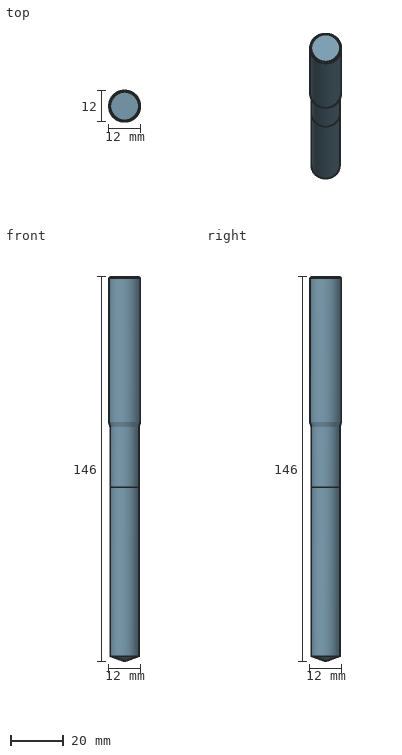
import cadquery as cq
import math

TOTAL_LENGTH = 146.0
SHANK_DIAMETER = 12.0
SHANK_LENGTH = 55.2
SHANK_TOP_CHAMFER = 0.6
CUTTER_DIAMETER = 11.0
CUTTER_LENGTH = 66.1
POINT_ANGLE = 140.0
STEP_CONE_HEIGHT = 1.8

TIP_Z = 0.0
TOP_Z = TIP_Z + TOTAL_LENGTH
SPLIT_Z = TIP_Z + CUTTER_LENGTH
STEP_TOP_Z = TOP_Z - SHANK_LENGTH

SHANK_RADIUS = SHANK_DIAMETER / 2
CUTTER_RADIUS = CUTTER_DIAMETER / 2
POINT_HEIGHT = CUTTER_RADIUS / math.tan(math.radians(POINT_ANGLE / 2))


def revolve_profile(points):
    """Turn a closed (radius, height) outline about the Z axis."""
    return cq.Workplane("XZ").polyline(points).close().revolve(360, (0, 0), (0, 1))


def make_shank():
    """Chamfered shank with a conical step down to the neck."""
    return revolve_profile([
        (0, SPLIT_Z),
        (CUTTER_RADIUS, SPLIT_Z),
        (CUTTER_RADIUS, STEP_TOP_Z - STEP_CONE_HEIGHT),
        (SHANK_RADIUS, STEP_TOP_Z),
        (SHANK_RADIUS, TOP_Z - SHANK_TOP_CHAMFER),
        (SHANK_RADIUS - SHANK_TOP_CHAMFER, TOP_Z),
        (0, TOP_Z),
    ])


def make_cutter():
    """Cylindrical cutting part with a conical point."""
    return revolve_profile([
        (0, TIP_Z),
        (CUTTER_RADIUS, TIP_Z + POINT_HEIGHT),
        (CUTTER_RADIUS, SPLIT_Z),
        (0, SPLIT_Z),
    ])


shank = make_shank()
cutter = make_cutter()

result = cq.Compound.makeCompound([shank.val(), cutter.val()])